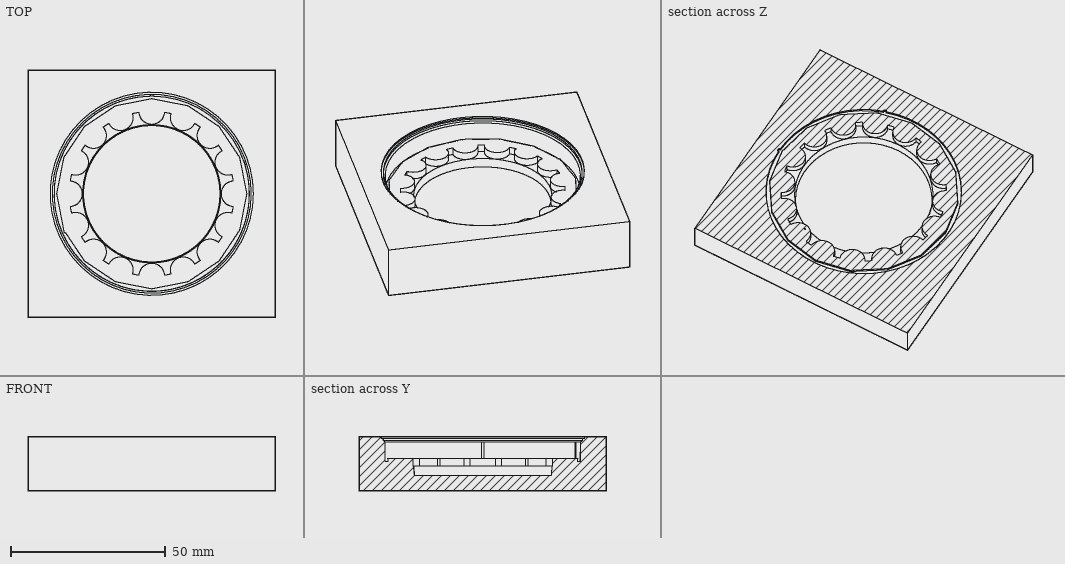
import cadquery as cq
import math

side = 80.0
height = 17.5

mouth_depth = 0.5
lip_depth = 1.2
wall_start_depth = 1.7
ring_top_depth = 7.0
groove_depth = 8.0
pocket_floor_depth = 9.5
well_depth = 12.5

mouth_radius = 32.9
lip_radius = 32.2
wall_radius = 31.6
well_top_radius = 22.4
well_bottom_radius = 22.1

ring_side_count = 16
ring_corner_radius = 30.8

wedge_start_angle = 191.25
wedge_tip_angle = 203.8
wedge_end_angle = 204.6
wedge_tip_radius = 31.0

lobe_count = 16
lobe_inner_radius = 22.5
lobe_radius = 4.15
pocket_outer_radius = 26.7

slot_angles = (18, 90)
slot_width = 0.8
slot_bottom_radius = 32.1


def level(depth):
    """Height of a plane lying at the given depth below the top face."""
    return height - depth


def polar_point(radius, angle):
    turn = math.radians(angle)
    return (radius * math.cos(turn), radius * math.sin(turn))


def ring_side_radius(angle):
    """Distance from the axis to the flat side of the ring at an angle."""
    half_side_angle = 180 / ring_side_count
    offset = angle % (2 * half_side_angle) - half_side_angle
    apothem = ring_corner_radius * math.cos(math.radians(half_side_angle))
    return apothem / math.cos(math.radians(offset))


def make_cavity():
    profile = [
        (0, level(0)),
        (mouth_radius, level(0)),
        (mouth_radius, level(mouth_depth)),
        (lip_radius, level(mouth_depth)),
        (lip_radius, level(lip_depth)),
        (wall_radius, level(wall_start_depth)),
        (wall_radius, level(groove_depth)),
        (well_top_radius, level(groove_depth)),
        (well_top_radius, level(pocket_floor_depth)),
        (well_bottom_radius, level(well_depth)),
        (0, level(well_depth)),
    ]
    return cq.Workplane("XZ").polyline(profile).close().revolve(360, (0, 0, 0), (0, 1, 0))


def make_ring():
    """Ring and wedge standing on the groove floor."""
    base = cq.Workplane("XY", origin=(0, 0, level(groove_depth)))
    ring_height = groove_depth - ring_top_depth
    wedge_outline = [
        polar_point(pocket_outer_radius, wedge_start_angle),
        polar_point(ring_side_radius(wedge_start_angle), wedge_start_angle),
        polar_point(wedge_tip_radius, wedge_tip_angle),
        polar_point(ring_side_radius(wedge_end_angle), wedge_end_angle),
        polar_point(pocket_outer_radius, wedge_end_angle),
    ]
    wedge = base.polyline(wedge_outline).close().extrude(ring_height)
    polygon = base.polygon(ring_side_count, 2 * ring_corner_radius).extrude(ring_height)
    bore = base.circle(well_top_radius).extrude(ring_height)
    return polygon.union(wedge).cut(bore)


def make_pockets():
    depth = pocket_floor_depth - ring_top_depth
    base = cq.Workplane("XY", origin=(0, 0, level(pocket_floor_depth)))
    disc = base.circle(pocket_outer_radius).extrude(depth)
    lobes = (
        base.polarArray(lobe_inner_radius + lobe_radius, 0, 360, lobe_count)
        .circle(lobe_radius)
        .extrude(depth)
    )
    return disc.cut(lobes)


def make_slot(angle):
    """Slot reaching from the ring's groove up to the start of the wall."""
    slot_start_radius = ring_corner_radius
    return (
        cq.Workplane("XY")
        .box(
            slot_bottom_radius - slot_start_radius,
            slot_width,
            groove_depth - wall_start_depth,
            centered=(False, True, False),
        )
        .translate((slot_start_radius, 0, level(groove_depth)))
        .rotate((0, 0, 0), (0, 0, 1), angle)
    )


result = cq.Workplane("XY").box(side, side, height, centered=(True, True, False))
result = result.cut(make_cavity())
for slot_angle in slot_angles:
    result = result.cut(make_slot(slot_angle))
result = result.union(make_ring()).cut(make_pockets())